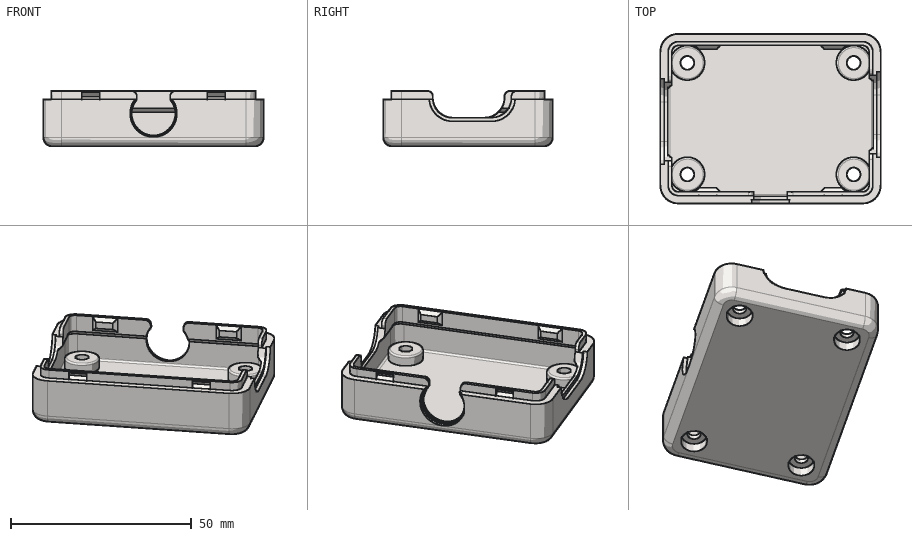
import cadquery as cq

length = 61.0
width = 47.0
height = 15.4

corner_radius = 5.0
bottom_fillet = 2.55
wall = 2.0
floor_thickness = wall
ledge_z = 13.0
lip_setback = 2.2
lip_thickness = 1.05
lip_inset = lip_setback + lip_thickness
flare_top_z = 10.6
slope_angle = 45
inner_fillet = bottom_fillet - wall

boss_x = 23.0
boss_y = 15.45
boss_diameter = 9.6
boss_top_z = 5.0
boss_root_z = floor_thickness / 2
boss_fillet = 0.5
screw_diameter = 3.7
head_diameter = 7.2
screw_seat_thickness = 1.65

latch_x = 17.4
groove_length = 5.05
groove_apex_z = 13.8
groove_depth = 1.15
latch_length = 7.0
latch_height = 4.1
latch_depth = 1.1
latch_z = 13.3

recess_depth = 1.1
recess_margin = 1.05
lip_round = 1.5
slot_flat = 10.85
slot_radius = 5.4
slot_bottom_z = 8.0
slot_center_y = {-1: -0.8, 1: 1.15}
port_radius = 6.05
port_margin = 0.4
port_z = 9.1
cut_clearance = 0.3
opening_depth = lip_inset + cut_clearance


def rounded_block(inset, z_bottom, z_top):
    """Rounded rectangular block, inset evenly from the outer walls."""
    return (
        cq.Workplane("XY", origin=(0, 0, z_bottom))
        .rect(length - 2 * inset, width - 2 * inset)
        .extrude(z_top - z_bottom)
        .edges("|Z")
        .fillet(corner_radius - inset)
    )


def shell():
    """Open tray with a raised lip that overhangs the cavity on a sloped underside."""
    body = rounded_block(0, 0, ledge_z).faces("<Z").edges().fillet(bottom_fillet)
    body = body.union(rounded_block(lip_setback, floor_thickness, height))
    flare_height = lip_inset - wall
    flare_bottom_z = flare_top_z - flare_height
    cavity = rounded_block(wall, floor_thickness, flare_bottom_z).faces("<Z").edges().fillet(inner_fillet)
    flare = (
        cavity.faces(">Z")
        .wires()
        .toPending()
        .workplane()
        .extrude(flare_height, combine=False, taper=slope_angle)
    )
    mouth = rounded_block(lip_inset, flare_top_z, height)
    return body.cut(cavity).cut(flare).cut(mouth)


def boss_points(z):
    """The four boss centres on a level plane at height z."""
    return (
        cq.Workplane("XY", origin=(0, 0, z))
        .rect(2 * boss_x, 2 * boss_y, forConstruction=True)
        .vertices()
    )


def add_bosses(body):
    """Four bosses with screw holes and head recesses entering from below."""
    bosses = (
        boss_points(boss_root_z)
        .circle(boss_diameter / 2)
        .extrude(boss_top_z - boss_root_z)
        .faces(">Z")
        .edges()
        .fillet(boss_fillet)
    )
    screws = boss_points(0).circle(screw_diameter / 2).extrude(boss_top_z)
    heads = boss_points(0).circle(head_diameter / 2).extrude(boss_top_z - screw_seat_thickness)
    return body.union(bosses).cut(screws).cut(heads)


def add_latches(body):
    """V grooves outside the lip, each backed by a chamfered pad inside it."""
    lip_outer_y = width / 2 - lip_setback
    lip_inner_y = width / 2 - lip_inset
    for x in (-latch_x, latch_x):
        pad = (
            cq.Workplane("XZ", origin=(x, lip_inner_y, latch_z))
            .rect(latch_length, latch_height)
            .extrude(latch_depth, taper=slope_angle)
        )
        groove = (
            cq.Workplane("YZ", origin=(x, lip_outer_y, groove_apex_z))
            .moveTo(0, groove_depth)
            .lineTo(-groove_depth, 0)
            .lineTo(0, -groove_depth)
            .close()
            .extrude(groove_length / 2, both=True)
        )
        body = body.union(pad).union(pad.mirror("XZ"))
        body = body.cut(groove).cut(groove.mirror("XZ"))
    return body


def lip_gap(plane, half_width):
    """Gap through the lip, straight from the ledge and rounded outwards at its top."""
    round_z = height - lip_round
    return (
        plane.moveTo(-half_width, ledge_z)
        .lineTo(-half_width, round_z)
        .radiusArc((-half_width - lip_round, height), -lip_round)
        .lineTo(half_width + lip_round, height)
        .radiusArc((half_width, round_z), -lip_round)
        .lineTo(half_width, ledge_z)
        .close()
        .extrude(-opening_depth)
    )


def slot_profile(plane, radius, depth):
    """U-shaped cut with a flat bottom, open at the ledge."""
    center_z = slot_bottom_z + slot_radius
    half_flat = slot_flat / 2
    half_width = half_flat + radius
    return (
        plane.moveTo(-half_width, center_z)
        .radiusArc((-half_flat, center_z - radius), -radius)
        .lineTo(half_flat, center_z - radius)
        .radiusArc((half_width, center_z), -radius)
        .close()
        .extrude(-depth)
    )


def cut_side_slots(body):
    """Wide stepped slots through the two short walls."""
    for side, center_y in slot_center_y.items():
        face = cq.Workplane(
            cq.Plane(origin=(side * length / 2, center_y, 0), xDir=(0, side, 0), normal=(side, 0, 0))
        )
        body = body.cut(slot_profile(face, slot_radius, opening_depth))
        body = body.cut(slot_profile(face, slot_radius + recess_margin, recess_depth))
        body = body.cut(lip_gap(face, slot_flat / 2 + slot_radius))
    return body


def cut_front_port(body):
    """Round stepped port through the front wall, opening upwards through the lip."""
    face = cq.Workplane("XZ", origin=(0, -width / 2, 0))
    half_gap = (port_radius**2 - (ledge_z - port_z) ** 2) ** 0.5
    port = face.center(0, port_z).circle(port_radius).extrude(-opening_depth)
    recess = face.center(0, port_z).circle(port_radius + port_margin).extrude(-recess_depth)
    return body.cut(port).cut(recess).cut(lip_gap(face, half_gap))


result = cut_front_port(cut_side_slots(add_latches(add_bosses(shell()))))